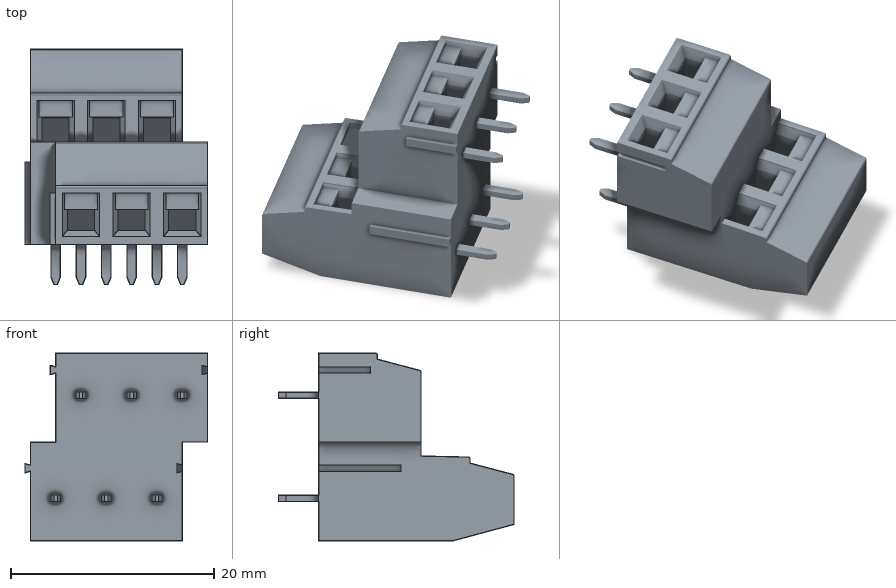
import cadquery as cq
import math


overall_length = 23.2
pole_count = 3
pole_pitch = 4.99
tier_width = pole_count * pole_pitch
tier_shift = pole_pitch / 2
lower_depth = 19.25
upper_depth = 10.12
ledge_height = 9.72
total_height = 18.5
edge_radius = 0.2

deck_step = 0.6
slope_length = 4.32
slope_drop = 1.14
lower_deck_height = 8.35
lower_deck_tilt = 1.2
bottom_slope_length = 5.96
bottom_slope_height = 1.6

mouth_width = 3.67
throat_width = 2.67
funnel_depth = 1.11
entry_depth = 4.99
front_taper = 0.6
entry_front = 0.81
entry_length = 4.27
clamp_length = 1.62
clamp_depth = 0.5
lower_entry_back = 14.2
lower_entry_rim = 0.12

pin_length = overall_length - lower_depth
pin_width = 0.95
pin_thickness = 0.63
pin_tip_length = 0.75
pin_tip_width = 0.32
lower_pin_height = 4.18
upper_pin_height = 14.34

rail_depth = 0.53
rail_outer_height = 0.93
rail_neck_height = 0.63
lower_rail_height = 7.15
upper_rail_height = 16.82
lower_rail_length = 8.15
upper_rail_length = 5.1


def extrude_profile(points, start_x):
    """Extrude a closed (Y, Z) outline over one tier width."""
    return cq.Workplane("YZ").workplane(offset=start_x).polyline(points).close().extrude(tier_width)


def round_edges_along_x(body, places):
    """Round the X-direction edges that pass through the given (Y, Z) places."""
    pick_margin = 0.02
    for y, z in places:
        near = cq.selectors.BoxSelector(
            (-tier_width, y - pick_margin, z - pick_margin),
            (2 * tier_width, y + pick_margin, z + pick_margin),
        )
        body = body.edges("|X").edges(near).fillet(edge_radius)
    return body


def lower_tier():
    deck_edge_y = lower_depth - slope_length
    deck_edge_z = lower_deck_height - (deck_edge_y - upper_depth) * math.tan(math.radians(lower_deck_tilt))
    slope_top_z = deck_edge_z - deck_step
    deck_edge = (deck_edge_y, deck_edge_z)
    slope_end = (lower_depth, slope_top_z - slope_drop)
    body = extrude_profile(
        [
            (0, 0),
            (lower_depth - bottom_slope_length, 0),
            (lower_depth, bottom_slope_height),
            slope_end,
            (deck_edge_y, slope_top_z),
            deck_edge,
            (upper_depth, lower_deck_height),
            (upper_depth, ledge_height),
            (0, ledge_height),
        ],
        0,
    )
    return round_edges_along_x(body, [deck_edge, slope_end])


def upper_tier():
    deck_edge_y = upper_depth - slope_length
    slope_top_z = total_height - deck_step
    deck_edge = (deck_edge_y, total_height)
    slope_end = (upper_depth, slope_top_z - slope_drop)
    body = extrude_profile(
        [
            (0, ledge_height),
            (upper_depth, ledge_height),
            slope_end,
            (deck_edge_y, slope_top_z),
            deck_edge,
            (0, total_height),
        ],
        tier_shift,
    )
    return round_edges_along_x(body, [deck_edge, slope_end])


def wire_entry(length, taper, rim_depth):
    """Cutter for one wire entry: a funnel and a throat, less the clamp block at the +Y end.

    The mouth lies on Z = 0, is centred on X = 0 and ends at Y = 0, where the wall is straight.
    Above the funnel the walls run straight down for rim_depth.
    """
    throat_length = length - taper
    funnel = (
        cq.Workplane("XY")
        .workplane(offset=-rim_depth)
        .center(0, -length / 2)
        .rect(mouth_width, length)
        .workplane(offset=rim_depth - funnel_depth)
        .center(0, taper / 2)
        .rect(throat_width, throat_length)
        .loft(ruled=True)
    )
    if rim_depth > 0:
        rim = cq.Workplane("XY").center(0, -length / 2).rect(mouth_width, length).extrude(-rim_depth)
        funnel = funnel.union(rim)
    throat_depth = entry_depth - funnel_depth
    throat = (
        cq.Workplane("XY")
        .box(throat_width, throat_length, throat_depth, centered=(True, False, False))
        .translate((0, -throat_length, -entry_depth))
    )
    clamp = (
        cq.Workplane("XY")
        .box(mouth_width, clamp_length, entry_depth - clamp_depth, centered=(True, False, False))
        .translate((0, -clamp_length, -entry_depth))
    )
    return funnel.union(throat).cut(clamp)


def solder_pin():
    """One pin with a tapered tip, starting at the origin and pointing toward -Y."""
    shoulder_y = pin_tip_length - pin_length
    return (
        cq.Workplane("XY")
        .workplane(offset=-pin_thickness / 2)
        .polyline(
            [
                (-pin_width / 2, 0),
                (-pin_width / 2, shoulder_y),
                (-pin_tip_width / 2, -pin_length),
                (pin_tip_width / 2, -pin_length),
                (pin_width / 2, shoulder_y),
                (pin_width / 2, 0),
            ]
        )
        .close()
        .extrude(pin_thickness)
    )


def dovetail(length):
    """Dovetail bar along +Y, with its neck on X = 0 and its wide side toward -X."""
    return (
        cq.Workplane("XZ")
        .polyline(
            [
                (0, -rail_neck_height / 2),
                (-rail_depth, -rail_outer_height / 2),
                (-rail_depth, rail_outer_height / 2),
                (0, rail_neck_height / 2),
            ]
        )
        .close()
        .extrude(-length)
    )


result = lower_tier().union(upper_tier())

upper_entry_back = entry_front + entry_length
upper_entry = wire_entry(entry_length, front_taper, 0).translate((0, upper_entry_back, total_height))

lower_entry_length = lower_entry_back - upper_depth
lower_entry_z = lower_deck_height - lower_entry_length * math.tan(math.radians(lower_deck_tilt))
lower_entry = (
    wire_entry(lower_entry_length, 0, lower_entry_rim)
    .rotate((0, 0, 0), (1, 0, 0), -lower_deck_tilt)
    .translate((0, lower_entry_back, lower_entry_z))
)

for start_x, entry, pin_height in (
    (0, lower_entry, lower_pin_height),
    (tier_shift, upper_entry, upper_pin_height),
):
    for pole in range(pole_count):
        pole_x = start_x + (pole + 0.5) * pole_pitch
        result = result.cut(entry.translate((pole_x, 0, 0)))
        result = result.union(solder_pin().translate((pole_x, 0, pin_height)))

for start_x, rail_height, rail_length in (
    (0, lower_rail_height, lower_rail_length),
    (tier_shift, upper_rail_height, upper_rail_length),
):
    rail = dovetail(rail_length).translate((start_x, 0, rail_height))
    result = result.union(rail)
    result = result.cut(rail.translate((tier_width, 0, 0)))